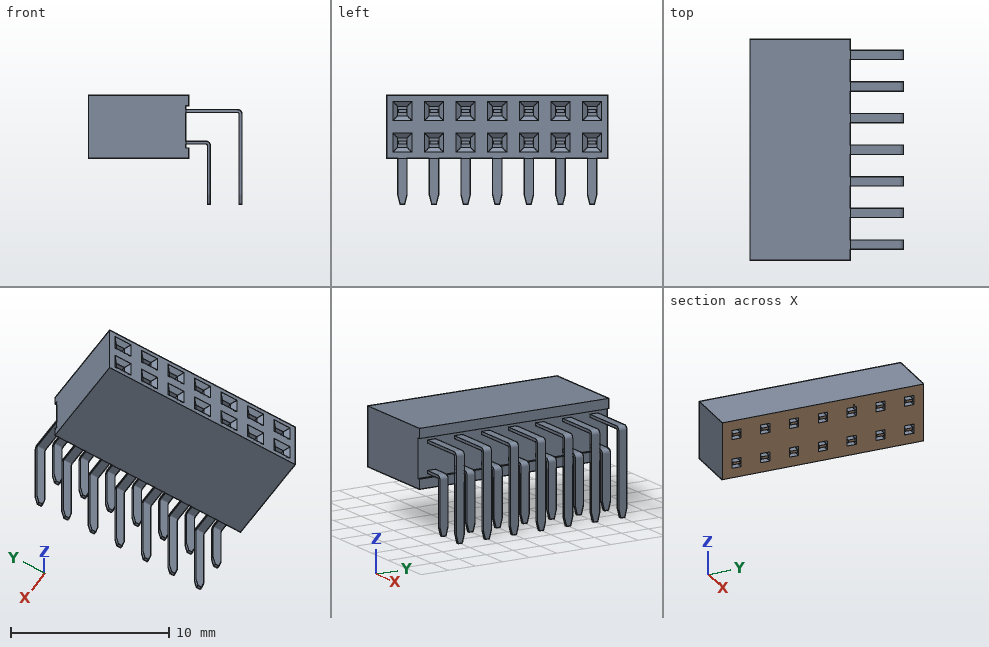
import cadquery as cq


body_length = 14.0
pin_count = 7
row_count = 2
pitch = body_length / pin_count
body_height = row_count * pitch
body_depth = 6.35

channel_depth = 0.2
channel_height = 2.66

funnel_mouth = 1.2
socket_size = 0.6
funnel_depth = (funnel_mouth - socket_size) / 2
socket_depth = 4.0

contact_width = 0.5
contact_length = 1.0

pin_width = 0.6
pin_thickness = 0.2
bend_radius = 0.3
pin_reach = 9.72
tail_drop = 2.9
tip_length = 0.6
tip_width = 0.3

column_positions = [(i - (pin_count - 1) / 2) * pitch for i in range(pin_count)]
row_heights = [(i + 0.5) * pitch for i in range(row_count)]
channel_floor = body_depth - channel_depth


def make_housing():
    block = cq.Workplane("XY").box(body_depth, body_length, body_height, centered=(False, True, False))
    channel = (
        cq.Workplane("XY")
        .box(channel_depth, body_length, channel_height, centered=(False, True, True))
        .translate((channel_floor, 0, body_height / 2))
    )
    return block.cut(channel)


def make_socket(y, z):
    """Void of one socket, with its contact blade left standing on the floor."""
    funnel = (
        cq.Workplane("YZ", origin=(0, y, z))
        .rect(funnel_mouth, funnel_mouth)
        .workplane(offset=funnel_depth)
        .rect(socket_size, socket_size)
        .loft(ruled=True)
    )
    hole = (
        cq.Workplane("YZ", origin=(funnel_depth, y, z))
        .rect(socket_size, socket_size)
        .extrude(socket_depth - funnel_depth)
    )
    contact = (
        cq.Workplane("YZ", origin=(socket_depth - contact_length, y, z))
        .rect(contact_width, pin_thickness)
        .extrude(contact_length)
    )
    return funnel.union(hole).cut(contact)


def make_pin(y, row):
    """Flat strip leaving the channel, bent down and tapered at its lower end."""
    top = row_heights[row] + pin_thickness / 2
    outer_x = pin_reach - (row_count - 1 - row) * pitch
    inner_x = outer_x - pin_thickness
    start_x = channel_floor - pin_thickness
    strip = (
        cq.Workplane("XZ", origin=(0, y, 0))
        .moveTo(start_x, top)
        .lineTo(outer_x - bend_radius, top)
        .radiusArc((outer_x, top - bend_radius), bend_radius)
        .lineTo(outer_x, -tail_drop)
        .lineTo(inner_x, -tail_drop)
        .lineTo(inner_x, top - bend_radius)
        .radiusArc((outer_x - bend_radius, top - pin_thickness), -(bend_radius - pin_thickness))
        .lineTo(start_x, top - pin_thickness)
        .close()
        .extrude(pin_width / 2, both=True)
    )
    tip_start = tip_length - tail_drop
    outline = (
        cq.Workplane("YZ", origin=(start_x, y, 0))
        .moveTo(-pin_width / 2, top)
        .lineTo(-pin_width / 2, tip_start)
        .lineTo(-tip_width / 2, -tail_drop)
        .lineTo(tip_width / 2, -tail_drop)
        .lineTo(pin_width / 2, tip_start)
        .lineTo(pin_width / 2, top)
        .close()
        .extrude(outer_x - start_x)
    )
    return strip.intersect(outline)


result = make_housing()
for column_y in column_positions:
    for row_index, row_z in enumerate(row_heights):
        result = result.cut(make_socket(column_y, row_z))
        result = result.union(make_pin(column_y, row_index))